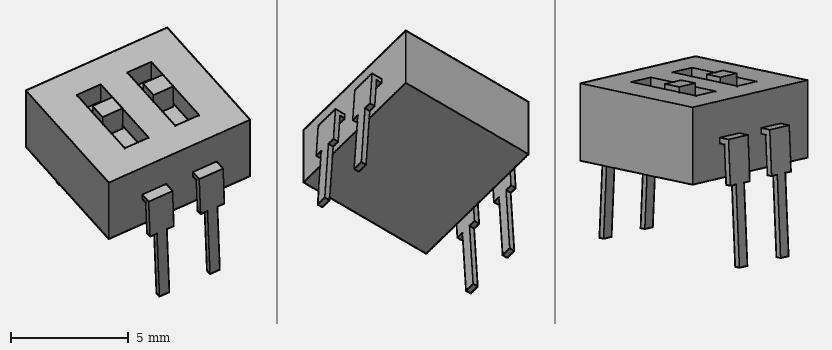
import cadquery as cq

body_length = 6.585
body_width = 7.1
body_height = 3.375

pitch = 2.54
rows = (-pitch / 2, pitch / 2)

slot_length = 3.8
slot_width = 1.2
slot_depth = 1.02

knob_left = -0.81
knob_lengths = (0.8, 0.83)
knob_width = 1.0
knob_rise = 0.2

pin_thickness = 0.255
pin_shoulder_width = slot_width
pin_tip_width = 0.5
pin_top = 1.77
pin_shoulder_bottom = -0.23
overall_height = 7.4
pin_bottom = body_height + knob_rise - overall_height
pin_bend_x = 3.8
pin_tip_x = 4.105
pin_splay = (pin_tip_x - pin_bend_x) / (pin_top - pin_bottom)
pin_shoulder_x = pin_bend_x + pin_splay * (pin_top - pin_shoulder_bottom)


def make_housing():
    slots = (
        cq.Workplane("XY", origin=(0, 0, body_height))
        .pushPoints([(0, y) for y in rows])
        .rect(slot_length, slot_width)
        .extrude(-slot_depth)
    )
    housing = cq.Workplane("XY").box(
        body_length, body_width, body_height, centered=(True, True, False)
    )
    return housing.cut(slots)


def make_knob(y, length):
    """Block rising from the slot floor to just above the top face."""
    return (
        cq.Workplane("XY", origin=(knob_left, y, body_height - slot_depth))
        .box(length, knob_width, slot_depth + knob_rise, centered=(False, True, False))
    )


def extrude_profile(points, y, width):
    """Extrude an XZ outline by width, centred on y."""
    return (
        cq.Workplane("XZ", origin=(0, y, 0))
        .polyline(points)
        .close()
        .extrude(width / 2, both=True)
    )


def make_pin(y):
    """Right-hand pin: wide bent shoulder with a narrow tip below it."""
    arm_bottom = pin_top - pin_thickness
    bend_inner = pin_bend_x + pin_splay * pin_thickness - pin_thickness
    shoulder_inner = pin_shoulder_x - pin_thickness
    shoulder = extrude_profile(
        [
            (body_length / 2, pin_top),
            (pin_bend_x, pin_top),
            (pin_shoulder_x, pin_shoulder_bottom),
            (shoulder_inner, pin_shoulder_bottom),
            (bend_inner, arm_bottom),
            (body_length / 2, arm_bottom),
        ],
        y,
        pin_shoulder_width,
    )
    tip = extrude_profile(
        [
            (shoulder_inner, pin_shoulder_bottom),
            (pin_shoulder_x, pin_shoulder_bottom),
            (pin_tip_x, pin_bottom),
            (pin_tip_x - pin_thickness, pin_bottom),
        ],
        y,
        pin_tip_width,
    )
    return shoulder.union(tip)


result = make_housing()
for row_y, knob_length in zip(rows, knob_lengths):
    right_pin = make_pin(row_y)
    result = result.union(make_knob(row_y, knob_length))
    result = result.union(right_pin).union(right_pin.mirror("YZ"))